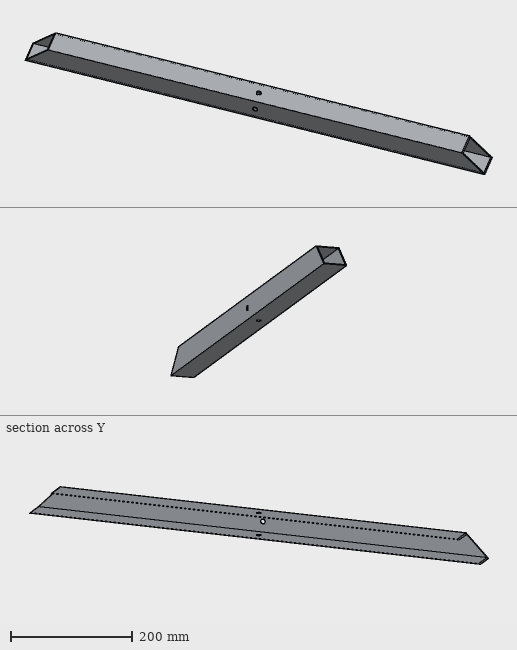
import cadquery as cq

length = 800.0
side = 40.0
wall = 2.0
bore = side - 2 * wall
hole_diameter = 8.0


def mitred_bar():
    """Solid bar whose top face is shorter than its bottom face by one side at each end."""
    half_bottom = length / 2
    half_top = half_bottom - side
    outline = [
        (-half_bottom, -side / 2),
        (half_bottom, -side / 2),
        (half_top, side / 2),
        (-half_top, side / 2),
    ]
    return cq.Workplane("XZ").polyline(outline).close().extrude(side / 2, both=True)


def cross_hole(plane):
    """Cylinder through both walls at mid-length, normal to the given plane."""
    return cq.Workplane(plane).circle(hole_diameter / 2).extrude(side, both=True)


cavity = cq.Workplane("XY").box(length, bore, bore)

result = mitred_bar().cut(cavity)
for hole_plane in ("XY", "XZ"):
    result = result.cut(cross_hole(hole_plane))